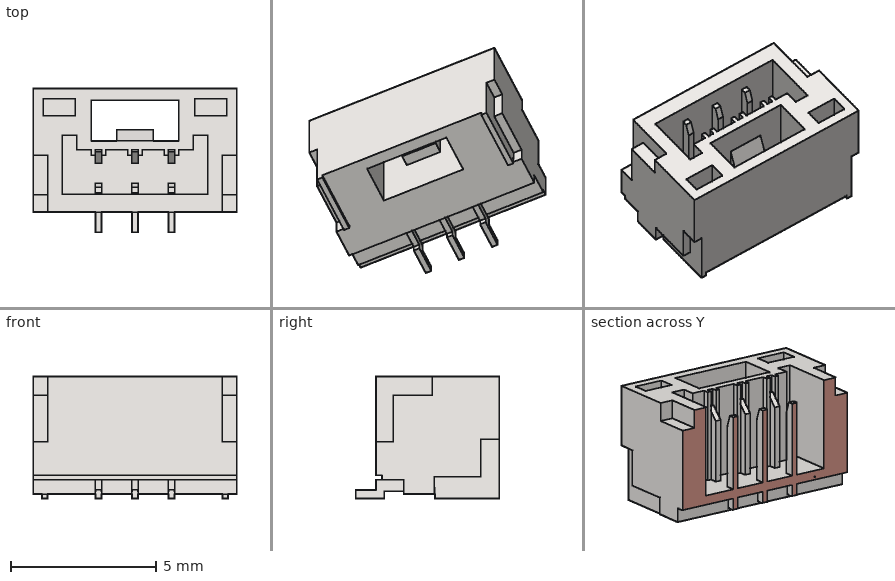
import cadquery as cq

housing_length = 7.0
housing_depth = 4.25
housing_top = 4.2
housing_bottom = 0.15
side_x = housing_length / 2

relief_depth = 0.95
relief_top = 0.65
lip_depth = 0.21
lip_top = 0.8

cavity_length = 5.0
cavity_front = 0.61
cavity_back = 2.15
cavity_floor = 1.0
ear_length = 0.505
ear_back = 2.645

window_length = 2.995
window_front = 2.45
window_back = 3.84
catch_length = 1.27
catch_reach = 0.385
catch_top = 3.2
catch_drop = 0.98
catch_height = 1.26

pocket_length = 1.1
pocket_width = 0.595
pocket_inset = 0.35
pocket_depth = 1.4

notch_depth = 0.5
front_notch_reach = 1.945
front_notch_ledge = 0.65
front_notch_width = 0.595
front_notch_height = 2.25
rear_notch_front = 2.0
rear_notch_ceiling = 0.755
rear_notch_width = 0.645
rear_notch_top = 2.04

tab_thickness = 0.195
tab_shoulder = 0.37
tab_clearance = 0.03

contact_count = 3
contact_pitch = 1.25
contact_width = 0.21
lead_underside = 0.245
foot_tip = -0.7
foot_heel = 0.295
foot_thickness = 0.295
rear_leg_front = 1.67
rear_leg_tip = 2.08
tip_top = 3.61
tip_shoulder = 3.2
front_leg_front = 0.665
front_leg_tip = 0.85
front_leg_back = 0.995

rib_length = 0.505
rib_depth = 0.2


def block(x_range, y_range, z_range):
    """Box filling the given ranges along X, Y and Z."""
    low_corner, high_corner = zip(x_range, y_range, z_range)
    sizes = [high - low for low, high in zip(low_corner, high_corner)]
    return cq.Workplane("XY").box(*sizes, centered=False).translate(low_corner)


def centred_block(x_centre, length, y_range, z_range):
    """Box of the given length centred on x_centre."""
    return block((x_centre - length / 2, x_centre + length / 2), y_range, z_range)


def side_plate(profile, x_start, thickness):
    """Plate with a (Y, Z) outline, extruded from x_start towards +X."""
    return cq.Workplane("YZ").polyline(profile).close().extrude(thickness).translate((x_start, 0, 0))


def both_ends(body):
    """The body together with its mirror image at the other end."""
    return body.union(body.mirror("YZ"))


def housing_blank():
    profile = [
        (0, housing_top),
        (0, lip_top),
        (lip_depth, lip_top),
        (lip_depth, relief_top),
        (relief_depth, relief_top),
        (relief_depth, housing_bottom),
        (housing_depth, housing_bottom),
        (housing_depth, housing_top),
    ]
    return side_plate(profile, -side_x, housing_length)


def cavity():
    z_range = (cavity_floor, housing_top)
    main = centred_block(0, cavity_length, (cavity_front, cavity_back), z_range)
    ear_start = -cavity_length / 2
    ear = block((ear_start, ear_start + ear_length), (cavity_front, ear_back), z_range)
    return main.union(both_ends(ear))


def window():
    return centred_block(0, window_length, (window_front, window_back), (housing_bottom, housing_top))


def catch():
    reach = window_front + catch_reach
    profile = [
        (window_front, catch_top),
        (reach, catch_top - catch_drop),
        (reach, catch_top - catch_height),
        (window_front, catch_top - catch_height),
    ]
    return side_plate(profile, -catch_length / 2, catch_length)


def corner_pockets():
    x_start = -side_x + pocket_inset
    y_end = housing_depth - pocket_inset
    pocket = block(
        (x_start, x_start + pocket_length),
        (y_end - pocket_width, y_end),
        (housing_top - pocket_depth, housing_top),
    )
    return both_ends(pocket)


def front_notches():
    profile = [
        (0, housing_top),
        (front_notch_reach, housing_top),
        (front_notch_reach, housing_top - front_notch_ledge),
        (front_notch_width, housing_top - front_notch_ledge),
        (front_notch_width, housing_top - front_notch_height),
        (0, housing_top - front_notch_height),
    ]
    return both_ends(side_plate(profile, -side_x, notch_depth))


def rear_notches():
    inner_y = housing_depth - rear_notch_width
    profile = [
        (housing_depth, 0),
        (housing_depth, rear_notch_top),
        (inner_y, rear_notch_top),
        (inner_y, rear_notch_ceiling),
        (rear_notch_front, rear_notch_ceiling),
        (rear_notch_front, 0),
    ]
    return both_ends(side_plate(profile, -side_x, notch_depth))


def solder_tabs():
    inner_y = housing_depth - rear_notch_width
    foot_front = rear_notch_front + tab_clearance
    profile = [
        (housing_depth, 0),
        (housing_depth, rear_notch_top),
        (inner_y, rear_notch_top),
        (inner_y, rear_notch_ceiling),
        (rear_notch_front, rear_notch_ceiling),
        (rear_notch_front, tab_shoulder),
        (foot_front, tab_shoulder),
        (foot_front, 0),
    ]
    return both_ends(side_plate(profile, -side_x + notch_depth - tab_thickness, tab_thickness))


def rear_wall_bar(x_centre, length):
    """Upright bar against the rear cavity wall, from the floor to the housing top."""
    y_range = (cavity_back - rib_depth, cavity_back)
    return centred_block(x_centre, length, y_range, (cavity_floor, housing_top))


def contact(x_centre):
    x_start = x_centre - contact_width / 2
    lead_profile = [
        (relief_depth, relief_top),
        (0, relief_top),
        (0, foot_thickness),
        (foot_tip, foot_thickness),
        (foot_tip, 0),
        (foot_heel, 0),
        (foot_heel, lead_underside),
        (relief_depth, lead_underside),
    ]
    rear_leg_profile = [
        (rear_leg_front, cavity_floor),
        (rear_leg_front, tip_shoulder),
        (rear_leg_tip, tip_top),
        (cavity_back, tip_top),
        (cavity_back, cavity_floor),
    ]
    front_leg_profile = [
        (front_leg_front, cavity_floor),
        (front_leg_front, tip_top),
        (front_leg_tip, tip_top),
        (front_leg_back, tip_shoulder),
        (front_leg_back, cavity_floor),
    ]
    lead = side_plate(lead_profile, x_start, contact_width)
    rear_leg = side_plate(rear_leg_profile, x_start, contact_width)
    front_leg = side_plate(front_leg_profile, x_start, contact_width)
    return lead.union(rear_leg).union(front_leg)


result = housing_blank().cut(cavity()).cut(window()).cut(corner_pockets())
result = result.cut(front_notches()).cut(rear_notches())
result = result.union(catch()).union(solder_tabs())

for index in range(contact_count):
    contact_x = (index - (contact_count - 1) / 2) * contact_pitch
    guide_rib = rear_wall_bar(contact_x, rib_length)
    leg_slot = rear_wall_bar(contact_x, contact_width)
    result = result.union(guide_rib).cut(leg_slot).union(contact(contact_x))